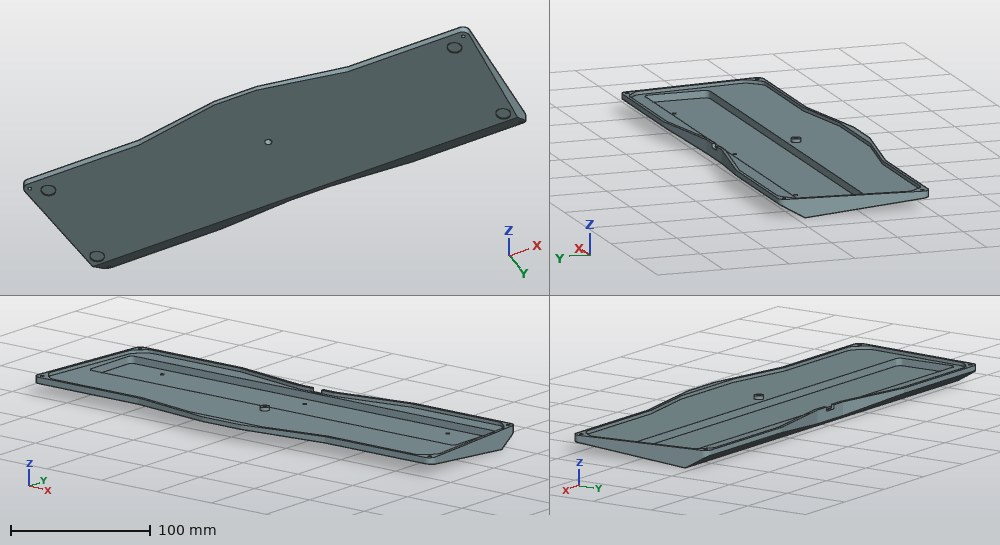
import cadquery as cq
import math

LENGTH = 362.67
DEPTH = 122.91
HEIGHT = 14.48

FRONT_Y = -DEPTH / 2
REAR_Y = DEPTH / 2
SIDE_TAPER = 5.3
WAVE_ANGLE = 10.0
FRONT_WING_Y = -49.5
FRONT_BULGE_HALF = 17.3
REAR_WAIST_Y = 50.6
REAR_WAIST_HALF = 16.2
CORNER_RADIUS = 5.25
CORNER_ZONE_X = 120.0
KINK_RADIUS = 6.0

FRONT_THICKNESS = 3.5
BOTTOM_TILT = 6.0
REAR_TILT = 30.0

WALL = 2.4
POCKET_DEPTH = 2.5
POCKET_FRONT_Y = -56.3
POCKET_FRONT_CHAMFER = 11.0
POCKET_REAR_CHAMFER = 9.0
POCKET_CORNER_RADIUS = 8.0

RECESS_LENGTH = 333.6
RECESS_REAR_Y = 45.2
RECESS_FRONT_Y = -4.1
RECESS_DEPTH = 5.5
RECESS_RADIUS = 4.0

BLIND_DIAMETER = 2.5
BLIND_DEPTH = 1.0
BLIND_SPACING = 130.3
BLIND_Y = 34.95

CORNER_HOLE_DIAMETER = 2.5
FRONT_HOLE_X = 176.8
FRONT_HOLE_Y = -44.8
REAR_HOLE_X = 168.0
REAR_HOLE_Y = 57.2

BOSS_DIAMETER = 7.0
BOSS_HOLE_DIAMETER = 2.9
BOSS_COUNTERBORE_DIAMETER = 5.0
BOSS_COUNTERBORE_DEPTH = 5.0
BOSS_Y = -11.5
BOSS_HOLE_Y = -12.2

FOOT_DIAMETER = 10.5
FOOT_DEPTH = 1.0
FOOT_X = 165.6
FOOT_FRONT_Y = -37.5
FOOT_REAR_Y = 35.5

NOTCH_WIDTH = 9.4
NOTCH_DEPTH = 3.0
NOTCH_RADIUS = 1.0


def tangent(degrees):
    return math.tan(math.radians(degrees))


def plan_points():
    """Sharp-cornered plan outline, listed counter-clockwise."""
    taper = math.radians(SIDE_TAPER)
    arc_centre_x = LENGTH / 2 - CORNER_RADIUS
    arc_centre_y = FRONT_WING_Y + CORNER_RADIUS
    side_x_at_centre = arc_centre_x + CORNER_RADIUS / math.cos(taper)
    front_corner_x = side_x_at_centre + CORNER_RADIUS * math.tan(taper)
    rear_corner_x = side_x_at_centre - (REAR_Y - arc_centre_y) * math.tan(taper)
    front_kink_x = FRONT_BULGE_HALF + (FRONT_WING_Y - FRONT_Y) / tangent(WAVE_ANGLE)
    rear_kink_x = REAR_WAIST_HALF + (REAR_Y - REAR_WAIST_Y) / tangent(WAVE_ANGLE)
    right_half = [
        (FRONT_BULGE_HALF, FRONT_Y),
        (front_kink_x, FRONT_WING_Y),
        (front_corner_x, FRONT_WING_Y),
        (rear_corner_x, REAR_Y),
        (rear_kink_x, REAR_Y),
        (REAR_WAIST_HALF, REAR_WAIST_Y),
    ]
    left_half = [(-x, y) for x, y in reversed(right_half)]
    return right_half + left_half


def plan_box(x_min, y_min, x_max, y_max):
    """Selects edges inside a rectangle seen from above, at any height."""
    return cq.selectors.BoxSelector((x_min, y_min, -DEPTH), (x_max, y_max, DEPTH))


def corner_edges(prism, y_sign):
    """Vertical edges of a plan prism near the ends of its front (-1) or rear (1) edge."""
    y_min, y_max = sorted((0, y_sign * DEPTH))
    left = plan_box(-LENGTH, y_min, -CORNER_ZONE_X, y_max)
    right = plan_box(CORNER_ZONE_X, y_min, LENGTH, y_max)
    return prism.edges("|Z").edges(left + right)


def wing_kink_edges(prism):
    """Vertical edges where the front wings turn into the bulge."""
    inner_x = 2 * FRONT_BULGE_HALF
    left = plan_box(-CORNER_ZONE_X, -DEPTH, -inner_x, 0)
    right = plan_box(inner_x, -DEPTH, CORNER_ZONE_X, 0)
    return prism.edges("|Z").edges(left + right)


def underside_profile():
    """Side profile between the top face and the two slopes of the underside."""
    ridge_y = FRONT_Y + (HEIGHT - FRONT_THICKNESS) / tangent(BOTTOM_TILT)
    rear_z = -HEIGHT + (REAR_Y - ridge_y) * tangent(REAR_TILT)
    return [(FRONT_Y, 0), (FRONT_Y, -FRONT_THICKNESS), (ridge_y, -HEIGHT), (REAR_Y, rear_z), (REAR_Y, 0)]


def body():
    wedge = cq.Workplane("YZ").polyline(underside_profile()).close().extrude(LENGTH, both=True)
    prism = cq.Workplane("XY").polyline(plan_points()).close().extrude(-HEIGHT)
    for y_sign in (-1, 1):
        prism = corner_edges(prism, y_sign).fillet(CORNER_RADIUS)
    prism = wing_kink_edges(prism).fillet(KINK_RADIUS)
    return prism.intersect(wedge)


def pocket():
    """Inset copy of the plan with cut-off corners and a straight front limit at the bulge."""
    full = (
        cq.Workplane("XY")
        .polyline(plan_points())
        .close()
        .offset2D(-WALL, "intersection")
        .extrude(-POCKET_DEPTH)
    )
    for y_sign, chamfer in ((-1, POCKET_FRONT_CHAMFER), (1, POCKET_REAR_CHAMFER)):
        full = corner_edges(full, y_sign).chamfer(chamfer)
        full = corner_edges(full, y_sign).fillet(POCKET_CORNER_RADIUS)
    limit_origin = (0, POCKET_FRONT_Y + DEPTH / 2, 0)
    behind_front_limit = cq.Workplane("XY", origin=limit_origin).box(LENGTH, DEPTH, HEIGHT)
    return full.intersect(behind_front_limit)


def recess():
    return (
        cq.Workplane("XY", origin=(0, (RECESS_REAR_Y + RECESS_FRONT_Y) / 2, -POCKET_DEPTH))
        .rect(RECESS_LENGTH, RECESS_REAR_Y - RECESS_FRONT_Y)
        .extrude(-RECESS_DEPTH)
        .edges("|Z")
        .fillet(RECESS_RADIUS)
    )


def blind_holes():
    points = [(i * BLIND_SPACING, BLIND_Y) for i in (-1, 0, 1)]
    return (
        cq.Workplane("XY", origin=(0, 0, -POCKET_DEPTH - RECESS_DEPTH))
        .pushPoints(points)
        .circle(BLIND_DIAMETER / 2)
        .extrude(-BLIND_DEPTH)
    )


def corner_holes():
    points = []
    for sign in (-1, 1):
        points.append((sign * FRONT_HOLE_X, FRONT_HOLE_Y))
        points.append((sign * REAR_HOLE_X, REAR_HOLE_Y))
    return cq.Workplane("XY").pushPoints(points).circle(CORNER_HOLE_DIAMETER / 2).extrude(-HEIGHT)


def slope_plane(x, y):
    """Plane on the gentle slope of the underside, its normal pointing out of the part."""
    tilt = math.radians(BOTTOM_TILT)
    z = -FRONT_THICKNESS - (y - FRONT_Y) * math.tan(tilt)
    return cq.Plane(origin=(x, y, z), xDir=(1, 0, 0), normal=(0, -math.sin(tilt), -math.cos(tilt)))


def slope_hole(x, y, diameter, depth):
    """Round cutter square to the gentle slope, going into the part from the underside."""
    return cq.Workplane(slope_plane(x, y)).circle(diameter / 2).extrude(-depth)


def foot_recesses():
    feet = cq.Workplane("XY")
    for x in (-FOOT_X, FOOT_X):
        for y in (FOOT_FRONT_Y, FOOT_REAR_Y):
            feet = feet.add(slope_hole(x, y, FOOT_DIAMETER, FOOT_DEPTH))
    return feet.combine()


def boss():
    """Post from the pocket floor up to the rim level."""
    return cq.Workplane("XY", origin=(0, BOSS_Y, 0)).circle(BOSS_DIAMETER / 2).extrude(-POCKET_DEPTH)


def boss_hole():
    drill = slope_hole(0, BOSS_HOLE_Y, BOSS_HOLE_DIAMETER, HEIGHT)
    counterbore = slope_hole(0, BOSS_HOLE_Y, BOSS_COUNTERBORE_DIAMETER, BOSS_COUNTERBORE_DEPTH)
    return drill.union(counterbore)


def notch():
    """Slot through the rear wall, open at the top, with rounded bottom edges."""
    return (
        cq.Workplane("XY", origin=(0, REAR_WAIST_Y - WALL / 2, 0))
        .rect(NOTCH_WIDTH, WALL)
        .extrude(-NOTCH_DEPTH)
        .edges("|Y and <Z")
        .fillet(NOTCH_RADIUS)
    )


result = (
    body()
    .cut(pocket())
    .cut(recess())
    .union(boss())
    .cut(boss_hole())
    .cut(blind_holes())
    .cut(corner_holes())
    .cut(foot_recesses())
    .cut(notch())
)